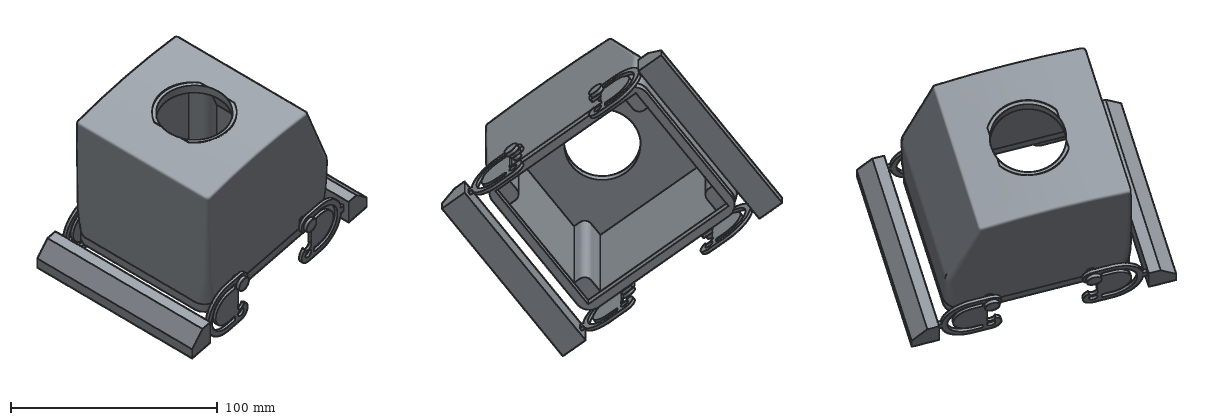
import cadquery as cq
import math

half_width = 41.4
half_depth = 46.8
front_draft = 0.6
base_z = 16.2
rim_z = 21.5
knee_z = 52.0
shoulder_z = 96.3
crown_z = 98.5
rear_shoulder_y = 30.3
crown_y = -6.6
knee_blend = 11.0
roof_round = 1.3

rim_corner = 7.5
flare_radii = [(rim_z, rim_corner), (30.5, 4.9), (39.0, 3.6)]
knee_corner = 2.9
front_taper_radii = [(67.8, 2.4), (82.5, 2.0)]
roof_corner = 1.6
leaning_roof_corner = 1.5
cutter_margin = 1.3

wall = 4.3
leaning_wall = 5.2
cavity_top_z = 92.8
pillar_width = 11.3
pillar_depth = 7.5
pillar_round = 4.0

entry_y = -5.9
entry_radius = 18.5
seat_radius = 20.5
seat_half_flat = 17.4
seat_z = 97.9

plate_x = 43.8
plate_thickness = 1.7
plate_height = 31.0
plate_radius = plate_height / 2
plate_y = 35.2
plate_end_y = 25.7
slot_outer_radius = 12.5
slot_inner_radius = 9.6
slot_end_y = 29.9
slot_end_round = 0.8
ear_radius = 5.2
jaw_y = 27.7
jaw_top_z = 22.6
notch_z = 10.1
notch_radius = 2.3
hook_hole_radius = 2.1

pin_radius = 2.1
head_radius = 3.7
head_end_x = 47.5

bar_length = 97.0
bar_inner_y = 52.7
bar_outer_y = 66.5
bar_bottom_z = 7.3
bar_top_z = rim_z
bar_chamfer = 7.8
neck_height = 3.9

lean_angle = math.atan2(half_depth - rear_shoulder_y, shoulder_z - knee_z)
knee_tangent = knee_blend * math.tan(lean_angle / 2)
knee_start_z = knee_z - knee_tangent
knee_end_z = knee_z + knee_tangent * math.cos(lean_angle)
pivot_z = plate_height - ear_radius
hook_z = ear_radius


def front_wall_y(z):
    return -half_depth + front_draft * (z - rim_z) / (shoulder_z - rim_z)


def rear_wall_y(z):
    """Outside of the +Y wall: upright, then the knee arc, then leaning."""
    if z <= knee_start_z:
        return half_depth
    if z < knee_end_z:
        rise = z - knee_start_z
        return half_depth - knee_blend + math.sqrt(knee_blend**2 - rise**2)
    return half_depth - (z - knee_z) * math.tan(lean_angle)


def mirrored_pair(solid):
    """A solid and its mirror image on the other X side."""
    return cq.Workplane(obj=solid).add(solid.mirror("YZ"))


def hood_block():
    block = (
        cq.Workplane("YZ")
        .moveTo(-half_depth, rim_z)
        .lineTo(front_wall_y(shoulder_z), shoulder_z)
        .threePointArc((crown_y, crown_z), (rear_shoulder_y, shoulder_z))
        .lineTo(half_depth, knee_z)
        .lineTo(half_depth, rim_z)
        .close()
        .extrude(half_width, both=True)
    )
    knee_edge = cq.selectors.NearestToPointSelector((0, half_depth, knee_z))
    return block.edges(knee_edge).fillet(knee_blend)


def corner_section(y, z, radius, side):
    """Outline, at height z, of what is trimmed off a corner to round it."""
    arc_gap = radius * (1 - math.sqrt(0.5))
    x_start = half_width - radius
    x_out = half_width + cutter_margin
    y_start = y - side * radius
    y_out = y + side * cutter_margin
    outline = (
        cq.Workplane("XY", origin=(0, 0, z))
        .moveTo(x_start, y)
        .lineTo(x_start, y_out)
        .lineTo(x_out, y_out)
        .lineTo(x_out, y_start)
        .lineTo(half_width, y_start)
        .threePointArc((half_width - arc_gap, y - side * arc_gap), (x_start, y))
        .close()
    )
    return outline.val()


def round_corners(block):
    above_z = crown_z + cutter_margin
    front_radii = flare_radii + [(knee_z, knee_corner)] + front_taper_radii + [(above_z, roof_corner)]
    front = [corner_section(front_wall_y(z), z, r, -1) for z, r in front_radii]
    rear_radii = flare_radii + [(knee_start_z, knee_corner)]
    rear = [corner_section(half_depth, z, r, 1) for z, r in rear_radii]
    knee_middle_z = (knee_start_z + knee_end_z) / 2
    leaning_radii = [(z, knee_corner) for z in (knee_start_z, knee_middle_z, knee_end_z)]
    leaning_radii.append((above_z, leaning_roof_corner))
    leaning = [corner_section(rear_wall_y(z), z, r, 1) for z, r in leaning_radii]
    for sections, ruled in ((front, False), (rear, False), (leaning, True)):
        cutter = cq.Solid.makeLoft(sections, ruled)
        block = block.cut(mirrored_pair(cutter))
    return block


def round_roof(block):
    roof = cq.selectors.NearestToPointSelector((0, crown_y, crown_z))
    return block.faces(roof).edges().fillet(roof_round)


def cavity():
    """Inside of the hood, open at the rim, following the leaning +Y wall."""
    lean_inset = leaning_wall / math.cos(lean_angle)
    inner_depth = half_depth - wall
    inner_knee_z = knee_z - (lean_inset - wall) / math.tan(lean_angle)
    return (
        cq.Workplane("YZ")
        .moveTo(-inner_depth, rim_z)
        .lineTo(-inner_depth, cavity_top_z)
        .lineTo(rear_wall_y(cavity_top_z) - lean_inset, cavity_top_z)
        .lineTo(inner_depth, inner_knee_z)
        .lineTo(inner_depth, rim_z)
        .close()
        .extrude(half_width - wall, both=True)
    )


def corner_pillars():
    x = half_width - wall - pillar_width / 2
    y = half_depth - wall - pillar_depth / 2
    height = cavity_top_z - rim_z
    pillars = cq.Workplane("XY")
    for x_side in (-1, 1):
        for y_side in (-1, 1):
            pillar = cq.Workplane("XY").box(pillar_width, pillar_depth, height)
            inner_edge = cq.selectors.NearestToPointSelector(
                (-x_side * pillar_width / 2, -y_side * pillar_depth / 2, 0)
            )
            pillar = pillar.edges(inner_edge).fillet(pillar_round)
            middle = (x_side * x, y_side * y, rim_z + height / 2)
            pillars = pillars.add(pillar.translate(middle))
    return pillars


def cut_cable_entry(hood):
    above_z = crown_z + cutter_margin
    seat_height = above_z - seat_z
    seat_flats = cq.Workplane("XY").box(
        2 * seat_radius, 2 * seat_half_flat, seat_height, centered=(True, True, False)
    )
    seat = cq.Workplane("XY").circle(seat_radius).extrude(seat_height).intersect(seat_flats)
    bore_height = above_z - cavity_top_z
    bore = cq.Workplane("XY").circle(entry_radius).extrude(bore_height)
    hood = hood.cut(seat.translate((0, entry_y, seat_z)))
    return hood.cut(bore.translate((0, entry_y, cavity_top_z)))


def plate_sketch():
    """Sketch plane on the inner face of the +X, +Y lever plate: (Y, Z)."""
    return cq.Workplane("YZ", origin=(plate_x, 0, 0))


def plate_slot():
    """C-shaped slot that follows the round end of the plate."""
    outer, inner = slot_outer_radius, slot_inner_radius
    z = plate_radius
    slot = (
        plate_sketch()
        .moveTo(slot_end_y, z + outer)
        .lineTo(plate_y, z + outer)
        .threePointArc((plate_y + outer, z), (plate_y, z - outer))
        .lineTo(slot_end_y, z - outer)
        .lineTo(slot_end_y, z - inner)
        .lineTo(plate_y, z - inner)
        .threePointArc((plate_y + inner, z), (plate_y, z + inner))
        .lineTo(slot_end_y, z + inner)
        .close()
        .extrude(plate_thickness)
    )
    return slot.edges("|X and <Y").fillet(slot_end_round)


def lever_plate():
    """Round-ended plate with a pivot ear on top and an open jaw above its hook."""
    ear_end_y = plate_end_y - ear_radius
    plate = (
        plate_sketch()
        .moveTo(plate_end_y, 0)
        .lineTo(plate_y, 0)
        .threePointArc((plate_y + plate_radius, plate_radius), (plate_y, plate_height))
        .lineTo(plate_end_y, plate_height)
        .threePointArc((ear_end_y, pivot_z), (plate_end_y, pivot_z - ear_radius))
        .lineTo(jaw_y, pivot_z - ear_radius)
        .lineTo(jaw_y, 2 * hook_z)
        .lineTo(plate_end_y, 2 * hook_z)
        .threePointArc((ear_end_y, hook_z), (plate_end_y, 0))
        .close()
        .extrude(plate_thickness)
    )
    below_ear = (
        plate_sketch()
        .moveTo(ear_end_y, pivot_z - ear_radius)
        .lineTo(jaw_y, pivot_z - ear_radius)
        .lineTo(jaw_y, jaw_top_z)
        .lineTo(ear_end_y, jaw_top_z)
        .close()
        .extrude(plate_thickness)
    )
    notch = plate_sketch().center(plate_end_y, notch_z).circle(notch_radius).extrude(plate_thickness)
    hole = plate_sketch().center(plate_end_y, hook_z).circle(hook_hole_radius).extrude(plate_thickness)
    return plate.cut(below_ear).cut(notch).cut(hole).cut(plate_slot())


def lever_neck():
    half_height = neck_height / 2
    start_y = plate_y + (plate_radius + slot_outer_radius) / 2
    return (
        plate_sketch()
        .moveTo(start_y, plate_radius - half_height)
        .lineTo(bar_inner_y, plate_radius - half_height)
        .lineTo(bar_inner_y, plate_radius + half_height)
        .lineTo(start_y, plate_radius + half_height)
        .close()
        .extrude(plate_thickness)
    )


def pivot_pin():
    inside_x = half_width - wall / 2
    shank = (
        cq.Workplane("YZ", origin=(inside_x, plate_end_y, pivot_z))
        .circle(pin_radius)
        .extrude(head_end_x - inside_x)
    )
    head_start_x = plate_x + plate_thickness
    head = (
        cq.Workplane("YZ", origin=(head_start_x, plate_end_y, pivot_z))
        .circle(head_radius)
        .extrude(head_end_x - head_start_x)
    )
    return shank.union(head)


def handle_bar():
    return (
        cq.Workplane("YZ")
        .moveTo(bar_inner_y, bar_bottom_z)
        .lineTo(bar_outer_y, bar_bottom_z)
        .lineTo(bar_outer_y, bar_top_z - bar_chamfer)
        .lineTo(bar_outer_y - bar_chamfer, bar_top_z)
        .lineTo(bar_inner_y, bar_top_z)
        .close()
        .extrude(bar_length / 2, both=True)
    )


def lever():
    """Locking lever on the +Y side, with its two pivot pins."""
    side = lever_plate().union(lever_neck()).union(pivot_pin())
    return handle_bar().union(side).union(side.mirror("YZ"))


def make_hood():
    """Hollow hood in one piece with its two locking levers."""
    hood = round_roof(round_corners(hood_block()))
    hood = hood.cut(cavity().cut(corner_pillars()))
    hood = cut_cable_entry(hood)
    rear_lever = lever()
    return hood.union(rear_lever).union(rear_lever.mirror("XZ"))


def make_base_ring():
    """Straight-sided ring under the rim of the hood."""
    height = rim_z - base_z
    return (
        cq.Workplane("XY", origin=(0, 0, base_z))
        .rect(2 * half_width, 2 * half_depth)
        .extrude(height)
        .edges("|Z")
        .fillet(rim_corner)
        .cut(
            cq.Workplane("XY", origin=(0, 0, base_z))
            .rect(2 * (half_width - wall), 2 * (half_depth - wall))
            .extrude(height)
        )
    )


hood = make_hood()
base_ring = make_base_ring()
result = cq.Compound.makeCompound([hood.val(), base_ring.val()])